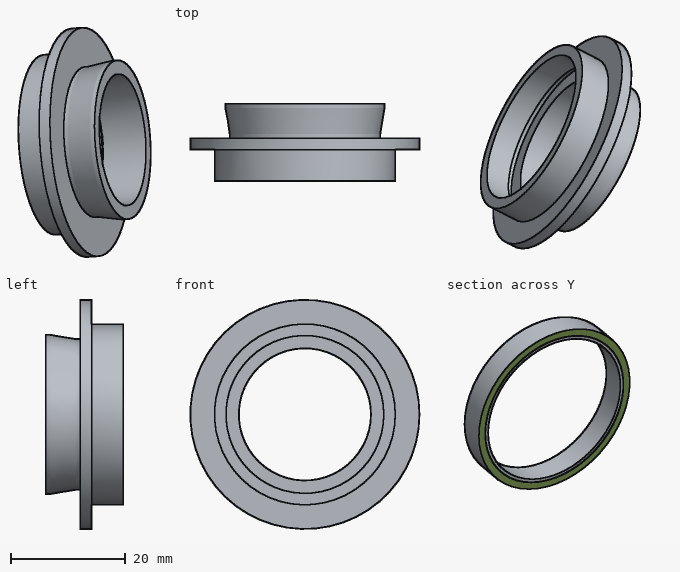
import cadquery as cq

flange_diameter = 40.0
boss_diameter = 31.5
neck_diameter = 26.3
lip_diameter = 27.8
bore_diameter = 23.0
counterbore_diameter = 27.5
undercut_diameter = 28.7

boss_length = 5.5
flange_thickness = 2.0
rear_length = 6.0
neck_length = 0.7
lip_length = 0.8
counterbore_depth = 5.5
undercut_width = 1.0

boss_front = -boss_length
counterbore_floor = boss_front + counterbore_depth
undercut_start = counterbore_floor - undercut_width
flange_back = flange_thickness
taper_start = flange_back + neck_length
rear_end = flange_back + rear_length
lip_start = rear_end - lip_length

half_section = [
    (bore_diameter / 2, rear_end),
    (bore_diameter / 2, counterbore_floor),
    (undercut_diameter / 2, counterbore_floor),
    (undercut_diameter / 2, undercut_start),
    (counterbore_diameter / 2, undercut_start),
    (counterbore_diameter / 2, boss_front),
    (boss_diameter / 2, boss_front),
    (boss_diameter / 2, 0),
    (flange_diameter / 2, 0),
    (flange_diameter / 2, flange_back),
    (neck_diameter / 2, flange_back),
    (neck_diameter / 2, taper_start),
    (lip_diameter / 2, lip_start),
    (lip_diameter / 2, rear_end),
]

result = cq.Workplane("XY").polyline(half_section).close().revolve(360, (0, 0, 0), (0, 1, 0))